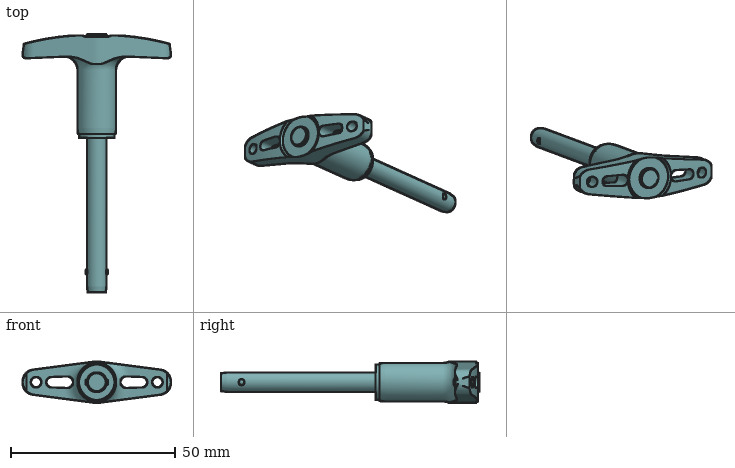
import cadquery as cq
import math


overall_length = 78.6
handle_length = 45.2
handle_height = 12.64

end_radius = 3.9
outline_mid_flat = 0.85

crown_y = -0.25
crown_radius = 75.0
crown_start_radius = 2.0
underside_slope_angle = 2.7
turned_radius = 26.0

end_slant_angle = 8.0
end_round = 1.2

recess_floor_y = -1.0
recess_floor_radius = 6.55
recess_rim_radius = 7.3

hole_x = 18.45
hole_radius = 1.55
slot_outer_x = 13.75
slot_outer_radius = 1.55
slot_inner_x = 8.95
slot_inner_radius = 1.72

sleeve_radius = 5.9
neck_radius = 4.05
sleeve_top_y = -10.95
sleeve_band_y = -28.65
sleeve_end_y = -30.4
sleeve_end_radius = 5.75
collar_radius = 5.4
collar_end_y = -31.6
shank_radius = 3.0
tip_taper_length = 1.8
tip_radius = 2.75

button_radius = 3.05
button_face_radius = 2.8
button_bevel_length = 0.5

ball_radius = 1.0
ball_reach = 3.48
ball_y = -72.35


def crown_height(radius):
    """Y of the crown arc at a distance from the pin axis."""
    offset = radius - crown_start_radius
    return crown_y - crown_radius + math.sqrt(crown_radius**2 - offset**2)


def neck_point(angle):
    """Point (radius, Y) on the neck arc; 0 degrees at the sleeve, 90 degrees level."""
    turn = math.radians(angle)
    radius = sleeve_radius + neck_radius * (1 - math.cos(turn))
    return radius, sleeve_top_y + neck_radius * math.sin(turn)


def underside_height(radius):
    """Y of the conical underside, tangent to the neck."""
    start_radius, start_y = neck_point(90 + underside_slope_angle)
    return start_y - (radius - start_radius) * math.tan(math.radians(underside_slope_angle))


def make_turned_handle():
    """Crown, conical underside and neck, still a full disc."""
    neck_end_angle = 90 + underside_slope_angle
    crown_mid = (recess_rim_radius + turned_radius) / 2
    return (
        cq.Workplane("XY")
        .moveTo(0, recess_floor_y)
        .lineTo(recess_floor_radius, recess_floor_y)
        .lineTo(recess_rim_radius, crown_height(recess_rim_radius))
        .threePointArc((crown_mid, crown_height(crown_mid)), (turned_radius, crown_height(turned_radius)))
        .lineTo(turned_radius, underside_height(turned_radius))
        .lineTo(*neck_point(neck_end_angle))
        .threePointArc(neck_point(neck_end_angle / 2), neck_point(0))
        .lineTo(0, sleeve_top_y)
        .close()
        .revolve(360, (0, 0, 0), (0, 1, 0))
    )


def make_outline():
    """Tapered outline with round ends, extruded along Y through the handle."""
    half_height = handle_height / 2
    end_x = handle_length / 2
    end_center = end_x - end_radius
    flank_angle = math.atan((half_height - end_radius) / end_center)
    crest_drop = outline_mid_flat * math.tan(flank_angle / 2)
    shoulder_z = half_height - crest_drop
    reach_x = end_center - outline_mid_flat
    distance = math.hypot(reach_x, shoulder_z)
    tilt = math.atan2(shoulder_z, reach_x) - math.asin(end_radius / distance)
    tangent_x = end_center + end_radius * math.sin(tilt)
    tangent_z = end_radius * math.cos(tilt)
    return (
        cq.Workplane("XZ")
        .moveTo(-outline_mid_flat, shoulder_z)
        .threePointArc((0, half_height), (outline_mid_flat, shoulder_z))
        .lineTo(tangent_x, tangent_z)
        .threePointArc((end_x, 0), (tangent_x, -tangent_z))
        .lineTo(outline_mid_flat, -shoulder_z)
        .threePointArc((0, -half_height), (-outline_mid_flat, -shoulder_z))
        .lineTo(-tangent_x, -tangent_z)
        .threePointArc((-end_x, 0), (-tangent_x, tangent_z))
        .close()
        .extrude(-sleeve_top_y)
    )


def make_end_cutter():
    """Prism that slants the +X end of the handle and rounds its lower edge."""
    slant = math.radians(end_slant_angle)
    end_x = handle_length / 2
    center_x = end_x - end_round
    bottom_y = underside_height(center_x)
    round_y = bottom_y + end_round
    face_start = (center_x + end_round * math.cos(slant), round_y + end_round * math.sin(slant))
    top_x = face_start[0] + face_start[1] * math.tan(slant)
    arc_mid_angle = (slant - math.radians(90)) / 2
    arc_mid = (
        center_x + end_round * math.cos(arc_mid_angle),
        round_y + end_round * math.sin(arc_mid_angle),
    )
    return (
        cq.Workplane("XY")
        .moveTo(top_x, 0)
        .lineTo(*face_start)
        .threePointArc(arc_mid, (center_x, bottom_y))
        .lineTo(center_x, sleeve_top_y)
        .lineTo(turned_radius, sleeve_top_y)
        .lineTo(turned_radius, 0)
        .close()
        .extrude(handle_height / 2, both=True)
    )


def make_hole_cutters():
    """Round hole and tapered slot on the +X side, through along Y."""
    depth = -sleeve_top_y
    hole = cq.Workplane("XZ").center(hole_x, 0).circle(hole_radius).extrude(depth)
    tilt = math.asin((slot_inner_radius - slot_outer_radius) / (slot_outer_x - slot_inner_x))
    inner_x = slot_inner_x + slot_inner_radius * math.sin(tilt)
    inner_z = slot_inner_radius * math.cos(tilt)
    outer_x = slot_outer_x + slot_outer_radius * math.sin(tilt)
    outer_z = slot_outer_radius * math.cos(tilt)
    slot = (
        cq.Workplane("XZ")
        .moveTo(inner_x, inner_z)
        .lineTo(outer_x, outer_z)
        .threePointArc((slot_outer_x + slot_outer_radius, 0), (outer_x, -outer_z))
        .lineTo(inner_x, -inner_z)
        .threePointArc((slot_inner_x - slot_inner_radius, 0), (inner_x, inner_z))
        .close()
        .extrude(depth)
    )
    return hole.union(slot)


def make_handle():
    handle = make_turned_handle().intersect(make_outline())
    side_cutter = make_end_cutter().union(make_hole_cutters())
    return handle.cut(side_cutter).cut(side_cutter.mirror("YZ"))


def make_pin():
    """Button, sleeve, collar and shank, turned about the pin axis."""
    return (
        cq.Workplane("XY")
        .moveTo(0, 0)
        .lineTo(button_face_radius, 0)
        .lineTo(button_radius, -button_bevel_length)
        .lineTo(button_radius, sleeve_top_y)
        .lineTo(sleeve_radius, sleeve_top_y)
        .lineTo(sleeve_radius, sleeve_band_y)
        .tangentArcPoint((sleeve_end_radius, sleeve_end_y), relative=False)
        .lineTo(collar_radius, sleeve_end_y)
        .lineTo(collar_radius, collar_end_y)
        .lineTo(shank_radius, collar_end_y)
        .lineTo(shank_radius, -overall_length + tip_taper_length)
        .lineTo(tip_radius, -overall_length)
        .lineTo(0, -overall_length)
        .close()
        .revolve(360, (0, 0, 0), (0, 1, 0))
    )


def make_ball(side):
    center_x = side * (ball_reach - ball_radius)
    return cq.Workplane("XY").sphere(ball_radius).translate((center_x, ball_y, 0))


result = make_handle().union(make_pin())
for side in (-1, 1):
    result = result.union(make_ball(side))